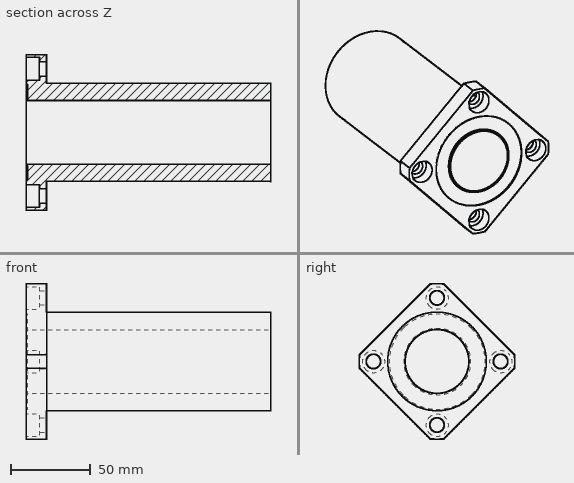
import cadquery as cq

total_length = 154.0
body_diameter = 62.0
bore_diameter = 40.0

flange_thickness = 13.0
flange_diameter = 98.0
flange_square = 75.0

hole_circle_diameter = 80.0
hole_count = 4
hole_diameter = 9.0
counterbore_diameter = 14.0
counterbore_depth = 8.3

recess_outer_diameter = 60.0
recess_inner_diameter = 42.0
recess_depth = 1.0


def cylinder(diameter, length):
    """Cylinder along the part axis, beginning at X = 0."""
    return cq.Workplane("YZ").circle(diameter / 2).extrude(length)


def make_flange():
    square = (
        cq.Workplane("YZ")
        .rect(flange_square, flange_square)
        .extrude(flange_thickness)
        .rotate((0, 0, 0), (1, 0, 0), 45)
    )
    return square.intersect(cylinder(flange_diameter, flange_thickness))


def make_mounting_holes():
    """Cutters for the holes, one at each corner of the flange."""
    hole = cylinder(hole_diameter, flange_thickness)
    hole = hole.union(cylinder(counterbore_diameter, counterbore_depth))
    hole = hole.translate((0, 0, hole_circle_diameter / 2))
    cutters = cq.Workplane("YZ")
    for index in range(hole_count):
        cutters = cutters.add(hole.rotate((0, 0, 0), (1, 0, 0), index * 360 / hole_count))
    return cutters.combine()


def make_ring_recess():
    ring = cylinder(recess_outer_diameter, recess_depth)
    return ring.cut(cylinder(recess_inner_diameter, recess_depth))


result = make_flange().union(cylinder(body_diameter, total_length))
result = result.cut(cylinder(bore_diameter, total_length))
result = result.cut(make_mounting_holes())
result = result.cut(make_ring_recess())